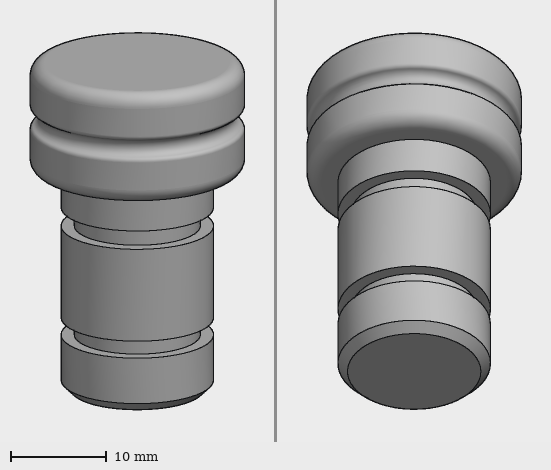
import cadquery as cq
import math

total_height = 36.0
head_diameter = 22.5
head_height = 12.0
head_edge_radius = 1.5
stem_diameter = 16.0
stem_chamfer = 1.0

head_groove_radius = 1.0
groove_lip_radius = 0.5

stem_groove_diameter = 13.2
groove_clearance = 0.35
stem_grooves = [(6.0, 7.9), (18.0, 20.0)]

head_radius = head_diameter / 2
head_bottom = total_height - head_height
head_middle = head_bottom + head_height / 2


def make_stem():
    stem = cq.Workplane("XY").circle(stem_diameter / 2).extrude(head_bottom)
    return stem.faces("<Z").chamfer(stem_chamfer)


def make_stem_groove(lower, upper):
    return (
        cq.Workplane("XY", origin=(0, 0, lower))
        .circle(stem_diameter / 2 + groove_clearance)
        .circle(stem_groove_diameter / 2)
        .extrude(upper - lower)
    )


def make_head():
    head = cq.Workplane("XY", origin=(0, 0, head_bottom)).circle(head_radius).extrude(head_height)
    return head.faces("<Z or >Z").edges().fillet(head_edge_radius)


def make_head_groove():
    """Ring with a round floor that rolls smoothly into a rounded lip on each side."""
    lip_offset = math.sqrt((head_groove_radius + groove_lip_radius) ** 2 - groove_lip_radius**2)
    lip_center_radius = head_radius - groove_lip_radius
    floor_share = head_groove_radius / (head_groove_radius + groove_lip_radius)
    join_radius = head_radius - groove_lip_radius * floor_share
    join_offset = lip_offset * floor_share

    join_angle = math.atan2(lip_offset - join_offset, join_radius - lip_center_radius)
    lip_mid_radius = lip_center_radius + groove_lip_radius * math.cos(join_angle / 2)
    lip_mid_offset = lip_offset - groove_lip_radius * math.sin(join_angle / 2)

    return (
        cq.Workplane("XZ", origin=(0, 0, head_middle))
        .moveTo(head_radius, -lip_offset)
        .threePointArc((lip_mid_radius, -lip_mid_offset), (join_radius, -join_offset))
        .threePointArc((head_radius - head_groove_radius, 0), (join_radius, join_offset))
        .threePointArc((lip_mid_radius, lip_mid_offset), (head_radius, lip_offset))
        .close()
        .revolve(360, (0, 0, 0), (0, 1, 0))
    )


stem = make_stem()
for lower, upper in stem_grooves:
    stem = stem.cut(make_stem_groove(lower, upper))

head = make_head().cut(make_head_groove())
result = stem.union(head)